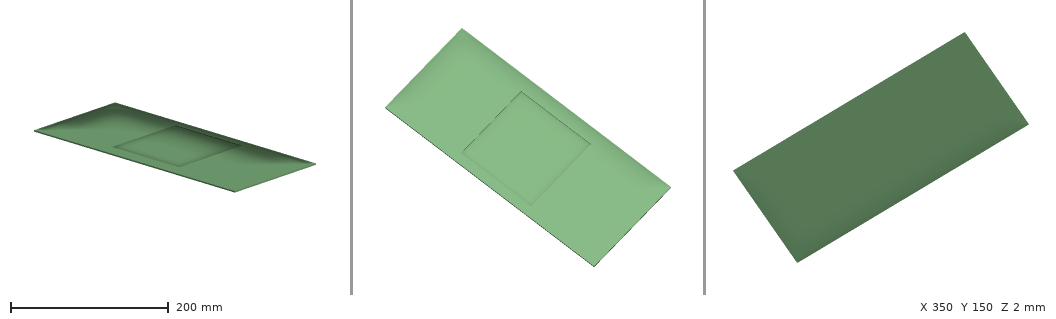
import cadquery as cq

plate_length = 350.0
plate_width = 150.0
plate_thickness = 2.0

recess_side = 117.0
recess_offset_x = 0.5
recess_offset_y = 3.3
recess_depth = plate_thickness / 2
recess_floor_z = plate_thickness - recess_depth


def make_plate():
    """Flat rectangular plate, centred in X and Y, resting on Z = 0."""
    return cq.Workplane("XY").box(
        plate_length, plate_width, plate_thickness, centered=(True, True, False)
    )


def make_recess():
    """Square block removed from the top face to leave a shallow flat floor."""
    return (
        cq.Workplane("XY", origin=(recess_offset_x, recess_offset_y, recess_floor_z))
        .rect(recess_side, recess_side)
        .extrude(recess_depth)
    )


result = make_plate().cut(make_recess())